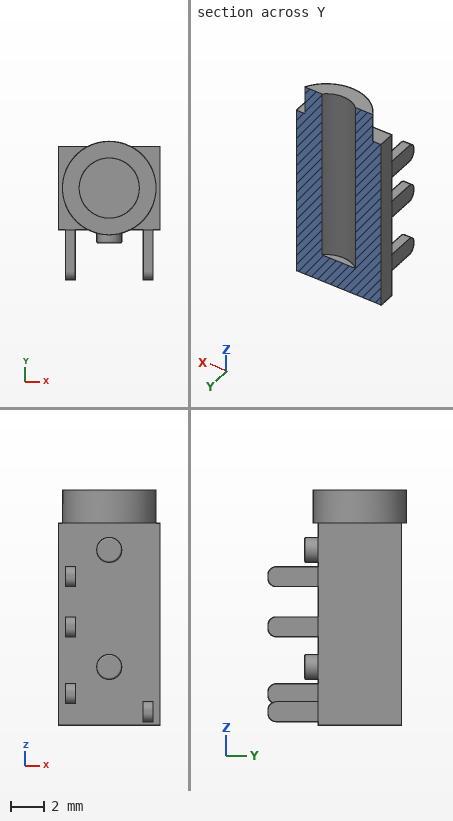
import cadquery as cq

BODY_WIDTH = 6.1
BODY_DEPTH = 5.0
BODY_HEIGHT = 12.1
FRONT_Y = -BODY_DEPTH / 2

COLLAR_DIAMETER = 5.6
COLLAR_HEIGHT = 2.0
BORE_DIAMETER = 3.6
BORE_FLOOR_THICKNESS = 2.0
TOTAL_HEIGHT = BODY_HEIGHT + COLLAR_HEIGHT

PEG_DIAMETER = 1.5
PEG_LENGTH = 0.8
PEG_TIP_RADIUS = 0.1
PEG_HEIGHTS = (3.5, 10.5)

PIN_WIDTH = 0.6
PIN_HEIGHT = 1.2
PIN_LENGTH = 3.0
PIN_TIP_RADIUS = 0.5
PIN_OFFSET = 2.32
LEFT_PIN_HEIGHTS = (1.9, 5.9, 8.9)
RIGHT_PIN_HEIGHT = 0.82

ROOT_DEPTH = 0.2


def make_housing():
    """Rectangular body and its round collar."""
    body = cq.Workplane("XY").box(BODY_WIDTH, BODY_DEPTH, BODY_HEIGHT, centered=(True, True, False))
    collar = cq.Workplane("XY", origin=(0, 0, BODY_HEIGHT)).circle(COLLAR_DIAMETER / 2).extrude(COLLAR_HEIGHT)
    return body.union(collar)


def make_bore():
    """Cutting tool for the socket, open at the top of the collar."""
    bore_depth = TOTAL_HEIGHT - BORE_FLOOR_THICKNESS
    floor = cq.Workplane("XY", origin=(0, 0, BORE_FLOOR_THICKNESS))
    return floor.circle(BORE_DIAMETER / 2).extrude(bore_depth)


def make_peg(z):
    """Round peg pointing toward -Y, with a rounded rim at its tip."""
    root = cq.Workplane("XZ", origin=(0, FRONT_Y + ROOT_DEPTH, z))
    peg = root.circle(PEG_DIAMETER / 2).extrude(PEG_LENGTH + ROOT_DEPTH)
    return peg.faces("<Y").fillet(PEG_TIP_RADIUS)


def make_pin(x, z):
    """Flat pin pointing toward -Y, with the upper and lower corners of its tip rounded."""
    root = cq.Workplane("XZ", origin=(x, FRONT_Y + ROOT_DEPTH, z))
    pin = root.rect(PIN_WIDTH, PIN_HEIGHT).extrude(PIN_LENGTH + ROOT_DEPTH)
    return pin.faces("<Y").edges("|X").fillet(PIN_TIP_RADIUS)


result = make_housing().cut(make_bore())

for peg_z in PEG_HEIGHTS:
    result = result.union(make_peg(peg_z))

for pin_z in LEFT_PIN_HEIGHTS:
    result = result.union(make_pin(-PIN_OFFSET, pin_z))

result = result.union(make_pin(PIN_OFFSET, RIGHT_PIN_HEIGHT))